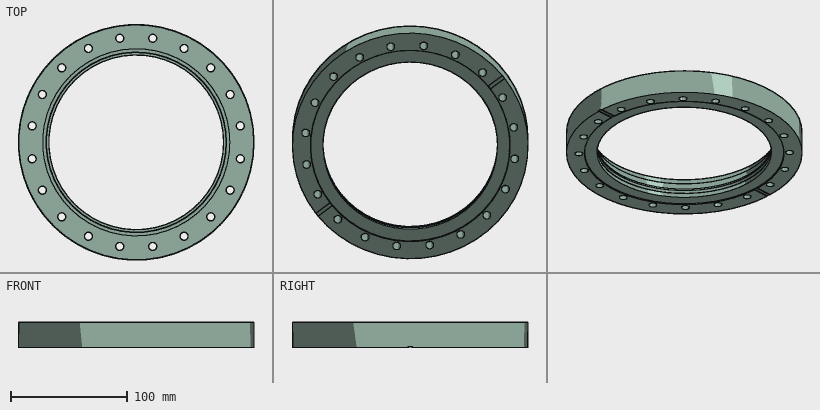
import cadquery as cq

height = 22.0
outer_radius = 101.5
rim_chamfer = 0.5
lip_radius = 80.5
lip_thickness = 5.9
housing_radius = 86.0

bolt_count = 20
bolt_circle_radius = 90.7
half_pitch_angle = 180 / bolt_count
bolt_hole_diameter = 6.7

leak_groove_width = 3.2
leak_groove_depth = 0.6
cut_overrun = 1.0

insert_radius = 85.7
shoulder_z = height - lip_thickness
bore_radius = 75.1
socket_radius = 77.3
socket_floor_z = 9.1
entry_chamfer = 0.5
bore_groove_radius = 1.5
bore_groove_z = 6.3

insert_recess = 0.8


def make_leak_grooves():
    """Two opposite channels running from the housing bore to the rim."""
    length = outer_radius - housing_radius + 2 * cut_overrun
    center = housing_radius + length / 2 - cut_overrun
    return (
        cq.Workplane("XY")
        .pushPoints([(-center, 0), (center, 0)])
        .rect(length, leak_groove_width)
        .extrude(leak_groove_depth)
    )


def make_ring():
    """Bolted ring whose top lip overhangs the insert."""
    ring = cq.Workplane("XY").circle(outer_radius).extrude(height)
    ring = ring.faces(">Z").edges().chamfer(rim_chamfer)
    lip_bore = cq.Workplane("XY").circle(lip_radius).extrude(height)
    insert_housing = cq.Workplane("XY").circle(housing_radius).extrude(shoulder_z)
    bolt_holes = (
        cq.Workplane("XY")
        .polarArray(bolt_circle_radius, half_pitch_angle, 360, bolt_count)
        .circle(bolt_hole_diameter / 2)
        .extrude(height)
    )
    return ring.cut(lip_bore).cut(insert_housing).cut(bolt_holes).cut(make_leak_grooves())


def make_insert():
    """Revolved insert with a chamfered socket and a half-round groove in the bore."""
    return (
        cq.Workplane("XZ")
        .moveTo(bore_radius, insert_recess)
        .lineTo(insert_radius, insert_recess)
        .lineTo(insert_radius, shoulder_z)
        .lineTo(socket_radius + entry_chamfer, shoulder_z)
        .lineTo(socket_radius, shoulder_z - entry_chamfer)
        .lineTo(socket_radius, socket_floor_z)
        .lineTo(bore_radius, socket_floor_z)
        .lineTo(bore_radius, bore_groove_z + bore_groove_radius)
        .threePointArc(
            (bore_radius + bore_groove_radius, bore_groove_z),
            (bore_radius, bore_groove_z - bore_groove_radius),
        )
        .close()
        .revolve(360, (0, 0, 0), (0, 1, 0))
    )


ring = make_ring()
insert = make_insert()
result = cq.Compound.makeCompound([ring.val(), insert.val()])